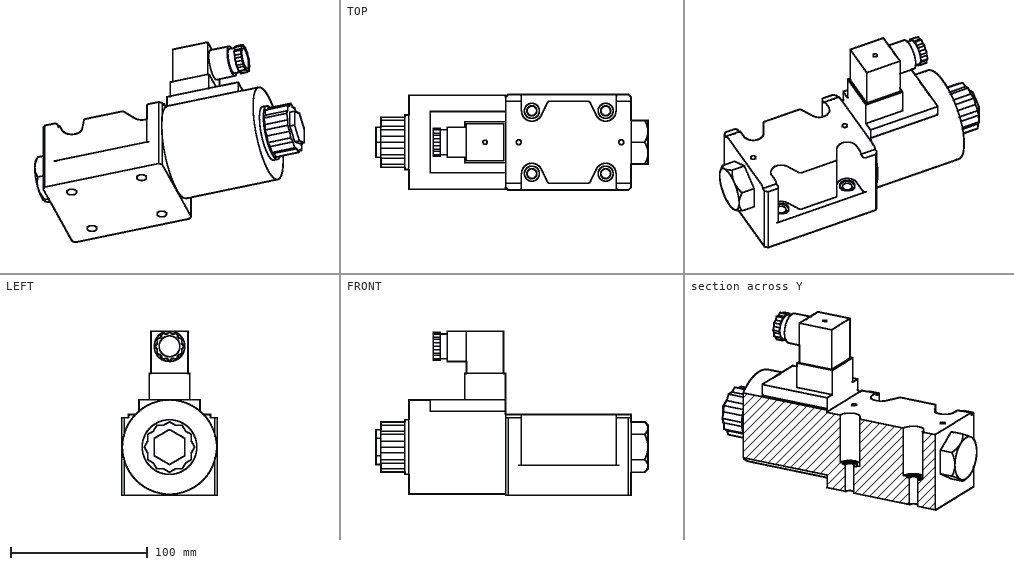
import cadquery as cq
import math

BODY_LENGTH = 92.0
BODY_WIDTH = 70.0
BODY_HEIGHT = 59.3
BODY_CHAMFER = 2.0
EDGE_ROUNDING = 2.3
SHOULDER_TOP = BODY_HEIGHT - EDGE_ROUNDING
BRIDGE_HALF_WIDTH = 30.1
AXIS_Z = 35.4

BOLT_CENTER_X = 46.3
BOLT_SPACING_X = 54.0
BOLT_SPACING_Y = 46.0
POCKET_FLOOR = 22.2
POCKET_RADIUS = 7.6
POCKET_FLARE_ANGLE = 26.0
WALL_ROUNDING = 2.0
BRIDGE_ROUNDING = 2.0
BOLT_HOLE_DIAMETER = 7.0
COUNTERBORE_DIAMETER = 11.0
COUNTERBORE_DEPTH = 1.0

PLUG_PIN_DIAMETER = 3.0
BODY_PIN_DIAMETER = 3.6
BODY_PIN_CENTER_X = 47.2
BODY_PIN_SPACING = 75.0
PIN_HOLE_DEPTH = 4.0
DRILL_POINT_ANGLE = 118.0

COIL_LENGTH = 70.7
COIL_DIAMETER = 69.0
FLANGE_LENGTH = 3.0
FLANGE_DIAMETER = 40.0
NUT_LENGTH = 17.5
NUT_TIP_RADIUS = 18.4
NUT_ROOT_RADIUS = 16.6
CAP_LENGTH = 3.6
CAP_ACROSS_FLATS = 22.2

PLATE_LENGTH = 55.1
PLATE_WIDTH = 45.0
PLATE_BOTTOM = 61.7
PLATE_TOP = 70.2
SOCKET_SIZE = 30.0
SOCKET_TOP = 89.3
PLUG_SIZE = 27.2
PLUG_TOP = 120.3
CONNECTOR_X = -SOCKET_SIZE / 2

GLAND_DIAMETER = 22.3
GLAND_LENGTH = 14.1
GLAND_Z = PLUG_TOP - GLAND_DIAMETER / 2
GLAND_NECK_DIAMETER = 18.3
GLAND_NECK_LENGTH = 5.0
GLAND_NUT_LENGTH = 5.2
GLAND_NUT_TIP_RADIUS = 10.4
GLAND_NUT_ROOT_RADIUS = 9.3
GLAND_BORE_DIAMETER = 15.2

SCREW_ACROSS_FLATS = 32.0
SCREW_LENGTH = 12.3
SCREW_BEVEL_ANGLE = 45.0

STAR_POINTS = 12
HEXAGON_SIDES = 6


def plane_at(x, z):
    """Sketch plane facing +X: local x is Y, local y is Z."""
    return cq.Workplane("YZ", origin=(x, 0, z))


def disc(x, z, diameter, length):
    return plane_at(x, z).circle(diameter / 2).extrude(length)


def box(x_min, x_max, width, z_min, z_max):
    return (
        cq.Workplane("XY", origin=((x_min + x_max) / 2, 0, z_min))
        .rect(x_max - x_min, width)
        .extrude(z_max - z_min)
    )


def hexagon_corner_radius(across_flats):
    return across_flats / 2 / math.cos(math.pi / HEXAGON_SIDES)


def hexagon(x, z, across_flats, length):
    """Hexagonal prism along X with corners pointing up and down."""
    sketch = plane_at(x, z).transformed(rotate=(0, 0, 90))
    return sketch.polygon(HEXAGON_SIDES, 2 * hexagon_corner_radius(across_flats)).extrude(length)


def star(x, z, tip_radius, root_radius, length):
    """Fluted nut: a pointed star with one tip straight up."""
    points = []
    for i in range(2 * STAR_POINTS):
        radius = root_radius if i % 2 else tip_radius
        angle = math.pi * i / STAR_POINTS
        points.append((radius * math.sin(angle), radius * math.cos(angle)))
    return plane_at(x, z).polyline(points).close().extrude(length)


def make_block():
    """Chamfered block whose two top edges are stepped down by a rounding."""
    block = box(0, BODY_LENGTH, BODY_WIDTH, 0, BODY_HEIGHT).edges("|Z").chamfer(BODY_CHAMFER)
    half = BODY_WIDTH / 2
    round_start = BRIDGE_HALF_WIDTH - EDGE_ROUNDING
    profile = (
        plane_at(0, 0)
        .moveTo(-half, 0)
        .lineTo(half, 0)
        .lineTo(half, SHOULDER_TOP)
        .lineTo(BRIDGE_HALF_WIDTH, SHOULDER_TOP)
        .radiusArc((round_start, BODY_HEIGHT), -EDGE_ROUNDING)
        .lineTo(-round_start, BODY_HEIGHT)
        .radiusArc((-BRIDGE_HALF_WIDTH, SHOULDER_TOP), -EDGE_ROUNDING)
        .lineTo(-half, SHOULDER_TOP)
        .close()
    )
    return block.intersect(profile.extrude(BODY_LENGTH))


def make_pocket_half():
    """Space beside the bridge on the -X, +Y side, up to the middle of the bolt pattern."""
    mid_x = BOLT_CENTER_X
    bolt_x = mid_x - BOLT_SPACING_X / 2
    bolt_y = BOLT_SPACING_Y / 2
    wall_x = bolt_x - POCKET_RADIUS
    side_y = BODY_WIDTH / 2
    flare = math.radians(POCKET_FLARE_ANGLE)
    tangent_x = bolt_x + POCKET_RADIUS * math.cos(flare)
    tangent_y = bolt_y - POCKET_RADIUS * math.sin(flare)
    bridge_x = tangent_x + (BRIDGE_HALF_WIDTH - tangent_y) * math.tan(flare)
    mid_angle = (math.pi + flare) / 2
    arc_mid = (
        bolt_x - POCKET_RADIUS * math.cos(mid_angle - flare),
        bolt_y - POCKET_RADIUS * math.sin(mid_angle - flare),
    )
    pocket = (
        cq.Workplane("XY", origin=(0, 0, POCKET_FLOOR))
        .moveTo(mid_x, side_y)
        .lineTo(wall_x - WALL_ROUNDING, side_y)
        .radiusArc((wall_x, side_y - WALL_ROUNDING), WALL_ROUNDING)
        .lineTo(wall_x, bolt_y)
        .threePointArc(arc_mid, (tangent_x, tangent_y))
        .lineTo(bridge_x, BRIDGE_HALF_WIDTH)
        .lineTo(mid_x, BRIDGE_HALF_WIDTH)
        .close()
        .extrude(BODY_HEIGHT - POCKET_FLOOR)
    )
    bridge_corner = cq.selectors.NearestToPointSelector(
        (bridge_x, BRIDGE_HALF_WIDTH, (POCKET_FLOOR + BODY_HEIGHT) / 2)
    )
    return pocket.edges(bridge_corner).fillet(BRIDGE_ROUNDING)


def make_bridge_blank():
    """Full-height middle part, left square-edged between the rounded shoulders."""
    half_length = BOLT_SPACING_X / 2 + POCKET_RADIUS
    x_min = BOLT_CENTER_X - half_length
    x_max = BOLT_CENTER_X + half_length
    return box(x_min, x_max, 2 * BRIDGE_HALF_WIDTH, POCKET_FLOOR, BODY_HEIGHT)


def drilled_hole(x):
    """Blind hole with a conical bottom, bored down from the top of the body."""
    radius = BODY_PIN_DIAMETER / 2
    tip_length = radius / math.tan(math.radians(DRILL_POINT_ANGLE / 2))
    return (
        cq.Workplane("XZ")
        .lineTo(radius, 0)
        .lineTo(radius, -PIN_HOLE_DEPTH)
        .lineTo(0, -PIN_HOLE_DEPTH - tip_length)
        .close()
        .revolve(360, (0, 0, 0), (0, 1, 0))
        .translate((x, 0, BODY_HEIGHT))
    )


def make_body():
    body = make_block().union(make_bridge_blank())
    middle = (BOLT_CENTER_X, 0, 0)
    left_pocket = make_pocket_half()
    side_pocket = left_pocket.union(left_pocket.mirror("YZ", middle))
    body = body.cut(side_pocket).cut(side_pocket.mirror("XZ", middle))
    body = (
        body.copyWorkplane(cq.Workplane("XY", origin=(BOLT_CENTER_X, 0, POCKET_FLOOR)))
        .rarray(BOLT_SPACING_X, BOLT_SPACING_Y, 2, 2)
        .cboreHole(BOLT_HOLE_DIAMETER, COUNTERBORE_DIAMETER, COUNTERBORE_DEPTH)
    )
    for side in (-1, 1):
        body = body.cut(drilled_hole(BODY_PIN_CENTER_X + side * BODY_PIN_SPACING / 2))
    return body


def make_screw():
    """Hexagonal head with its outer corners turned to a cone."""
    corner_radius = hexagon_corner_radius(SCREW_ACROSS_FLATS)
    face_radius = SCREW_ACROSS_FLATS / 2
    bevel_length = (corner_radius - face_radius) * math.tan(math.radians(SCREW_BEVEL_ANGLE))
    turned = (
        cq.Workplane("XY")
        .lineTo(0, corner_radius)
        .lineTo(SCREW_LENGTH - bevel_length, corner_radius)
        .lineTo(SCREW_LENGTH, face_radius)
        .lineTo(SCREW_LENGTH, 0)
        .close()
        .revolve(360, (0, 0, 0), (1, 0, 0))
        .translate((BODY_LENGTH, 0, AXIS_Z))
    )
    return hexagon(BODY_LENGTH, AXIS_Z, SCREW_ACROSS_FLATS, SCREW_LENGTH).intersect(turned)


def make_solenoid():
    flange_x = -COIL_LENGTH - FLANGE_LENGTH
    nut_x = flange_x - NUT_LENGTH
    cap_x = nut_x - CAP_LENGTH
    return (
        disc(-COIL_LENGTH, AXIS_Z, COIL_DIAMETER, COIL_LENGTH)
        .union(disc(flange_x, AXIS_Z, FLANGE_DIAMETER, FLANGE_LENGTH))
        .union(star(nut_x, AXIS_Z, NUT_TIP_RADIUS, NUT_ROOT_RADIUS, NUT_LENGTH))
        .union(hexagon(cap_x, AXIS_Z, CAP_ACROSS_FLATS, CAP_LENGTH))
    )


def make_gland():
    plug_face_x = CONNECTOR_X - PLUG_SIZE / 2
    neck_x = plug_face_x - GLAND_LENGTH - GLAND_NECK_LENGTH
    nut_x = neck_x - GLAND_NUT_LENGTH
    bore_depth = GLAND_NUT_LENGTH + GLAND_NECK_LENGTH
    return (
        disc(plug_face_x - GLAND_LENGTH, GLAND_Z, GLAND_DIAMETER, GLAND_LENGTH)
        .union(disc(neck_x, GLAND_Z, GLAND_NECK_DIAMETER, GLAND_NECK_LENGTH))
        .union(star(nut_x, GLAND_Z, GLAND_NUT_TIP_RADIUS, GLAND_NUT_ROOT_RADIUS, GLAND_NUT_LENGTH))
        .cut(disc(nut_x, GLAND_Z, GLAND_BORE_DIAMETER, bore_depth))
    )


def make_connector():
    half_plug = PLUG_SIZE / 2
    plate = box(-PLATE_LENGTH, 0, PLATE_WIDTH, PLATE_BOTTOM, PLATE_TOP)
    socket = box(-SOCKET_SIZE, 0, SOCKET_SIZE, PLATE_TOP, SOCKET_TOP)
    plug = (
        box(CONNECTOR_X - half_plug, CONNECTOR_X + half_plug, PLUG_SIZE, SOCKET_TOP, PLUG_TOP)
        .faces(">Z")
        .workplane(origin=(CONNECTOR_X, 0, PLUG_TOP))
        .hole(PLUG_PIN_DIAMETER, PIN_HOLE_DEPTH)
    )
    return plate.union(socket).union(plug).union(make_gland())


result = make_body().union(make_screw()).union(make_solenoid()).union(make_connector())